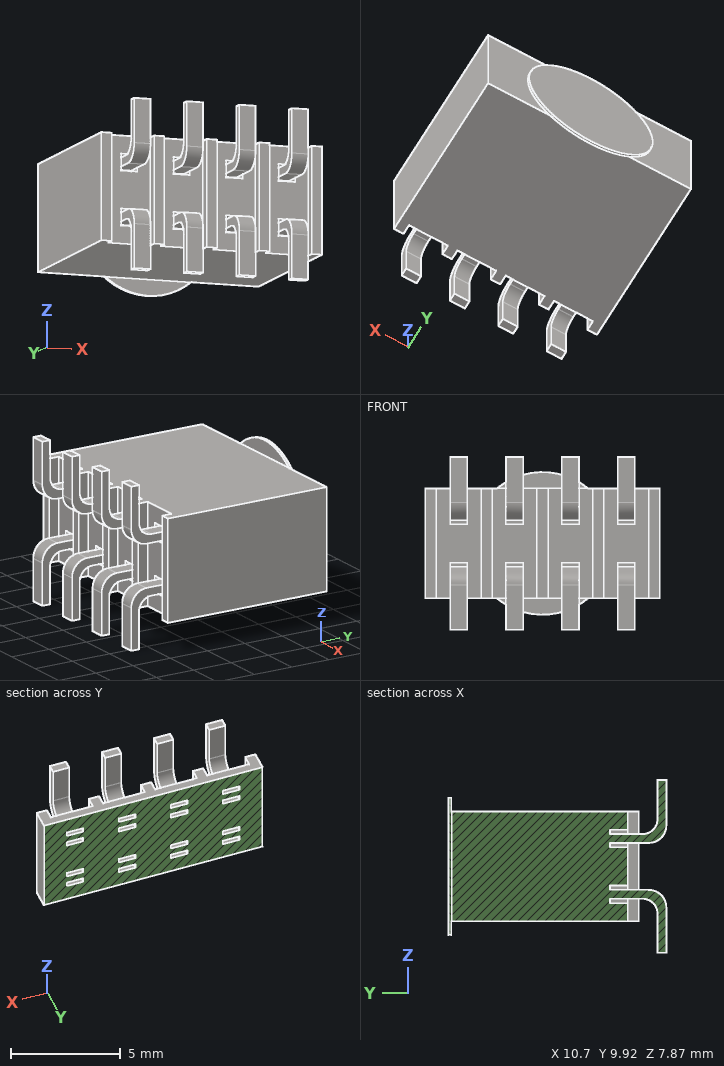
import cadquery as cq

housing_width = 10.67
housing_height = 5.0
housing_length = 8.53
rib_size = 0.5
pitch = 2.54
columns = 4
pin_width = 0.79
pin_thickness = 0.42
pin_overhang = 1.26
pin_span = 7.87
inner_bend_radius = 0.66
outer_bend_radius = 0.81
socket_depth = 0.8
cap_diameter = 6.5
cap_thickness = 0.13

rib_tip_y = -housing_length
front_face_y = rib_tip_y + rib_size
socket_floor_y = front_face_y + socket_depth
leg_outer_y = rib_tip_y - pin_overhang
leg_inner_y = leg_outer_y + pin_thickness
row_z = pitch / 2
pin_near_z = row_z - pin_thickness / 2
pin_far_z = row_z + pin_thickness / 2
leg_tip_z = pin_span / 2
column_xs = [(i - (columns - 1) / 2) * pitch for i in range(columns)]


def box_between(x_center, x_size, y_start, y_end, z_center, z_size):
    """Box centred in X and Z that runs from y_start to y_end."""
    return cq.Workplane("XY").box(x_size, y_end - y_start, z_size).translate(
        (x_center, (y_start + y_end) / 2, z_center)
    )


def make_pin(x_center):
    """Upper contact: straight out of its socket, then bent up into a leg."""
    outer_bend_z = pin_near_z + outer_bend_radius
    outer_bend_y = leg_outer_y + outer_bend_radius
    inner_bend_z = pin_far_z + inner_bend_radius
    inner_bend_y = leg_inner_y + inner_bend_radius
    return (
        cq.Workplane("YZ", origin=(x_center - pin_width / 2, 0, 0))
        .moveTo(socket_floor_y, pin_near_z)
        .lineTo(outer_bend_y, pin_near_z)
        .radiusArc((leg_outer_y, outer_bend_z), outer_bend_radius)
        .lineTo(leg_outer_y, leg_tip_z)
        .lineTo(leg_inner_y, leg_tip_z)
        .lineTo(leg_inner_y, inner_bend_z)
        .radiusArc((inner_bend_y, pin_far_z), -inner_bend_radius)
        .lineTo(socket_floor_y, pin_far_z)
        .close()
        .extrude(pin_width)
    )


def make_housing():
    """Block with front ribs, square sockets and the contacts fixed in them."""
    block = box_between(0, housing_width, rib_tip_y, 0, 0, housing_height)

    end_channel_outer = housing_width / 2 - rib_size
    rib_centers = [(i - columns / 2) * pitch for i in range(1, columns)]
    channel_starts = [-end_channel_outer] + [x + rib_size / 2 for x in rib_centers]
    channel_ends = [x - rib_size / 2 for x in rib_centers] + [end_channel_outer]
    for start, end in zip(channel_starts, channel_ends):
        channel_x = (start + end) / 2
        block = block.cut(
            box_between(channel_x, end - start, rib_tip_y, front_face_y, 0, housing_height)
        )

    for x in column_xs:
        for z in (row_z, -row_z):
            block = block.cut(
                box_between(x, pin_width, front_face_y, socket_floor_y, z, pin_width)
            )

    for x in column_xs:
        pin = make_pin(x)
        block = block.union(pin).union(pin.mirror("XY"))
    return block.solids()


def make_cap():
    """Thin round pick-up cap on the back face."""
    return cq.Workplane("XZ").circle(cap_diameter / 2).extrude(-cap_thickness)


housing = make_housing()
cap = make_cap()

result = cq.Compound.makeCompound([housing.val(), cap.val()])